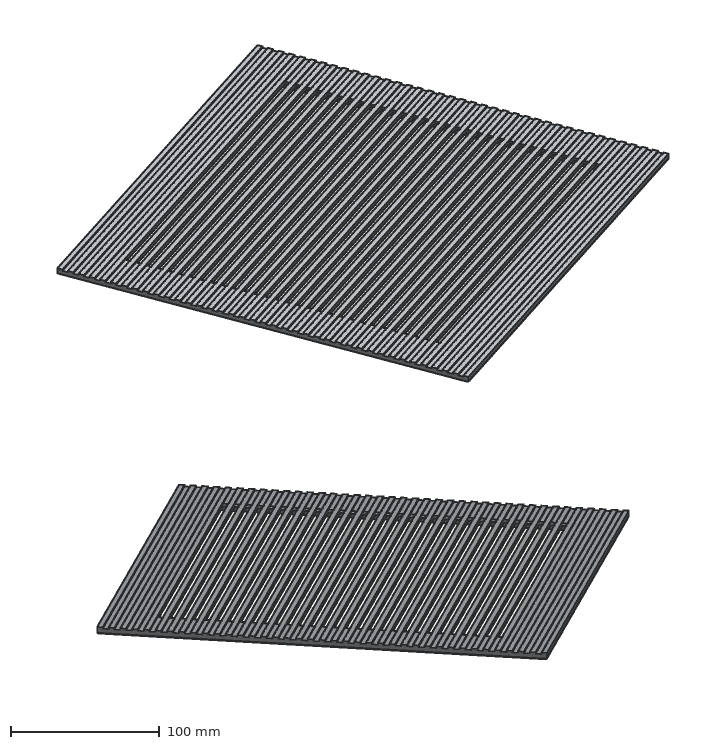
import cadquery as cq

side = 307.5
height = 6.0

groove_count = 38
edge_rib_trim = 0.2
groove_width = (side + 2 * edge_rib_trim) / (2 * groove_count + 1)
groove_depth = 1.0
pitch = 2 * groove_width

slot_count = 30
slot_length = 245.5
slot_corner_radius = 3.5 / 2

edge_chamfer = 1.0
frame_height = 1.2
frame_inset = 6.0
recess_side = 246.0
recess_depth = 3.0


def row_along_x(count):
    """Centre points of a centred row of features spaced one pitch apart."""
    return [((i - (count - 1) / 2) * pitch, 0) for i in range(count)]


plate = (
    cq.Workplane("XY", origin=(0, 0, frame_height))
    .rect(side, side)
    .extrude(height - frame_height)
    .faces("<Z")
    .chamfer(edge_chamfer)
)

frame_side = side - 2 * frame_inset
frame = cq.Workplane("XY").rect(frame_side, frame_side).extrude(frame_height)
recess = cq.Workplane("XY").rect(recess_side, recess_side).extrude(recess_depth)

grooves = (
    cq.Workplane("XY", origin=(0, 0, height - groove_depth))
    .pushPoints(row_along_x(groove_count))
    .rect(groove_width, side)
    .extrude(groove_depth)
)

slots = (
    cq.Workplane("XY")
    .pushPoints(row_along_x(slot_count))
    .rect(groove_width, slot_length)
    .extrude(height)
    .edges("|Z")
    .fillet(slot_corner_radius)
)

result = plate.union(frame).cut(recess).cut(grooves).cut(slots)